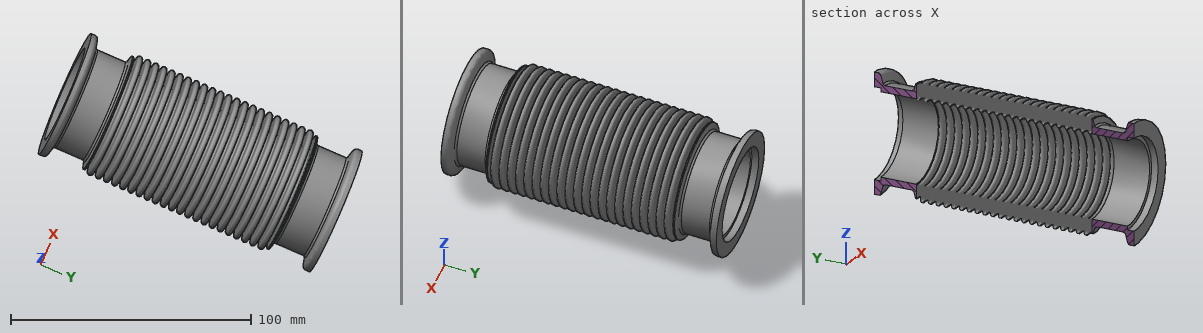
import cadquery as cq
import math

total_length = 123.1

convolution_count = 22
pitch = 3.7
wall = 0.31
gap = 1.5
crest_radius = 27.1
bellows_bore_radius = 18.7
end_plate_radius = 25.7

outside_root_bend = gap / 2
inside_root_bend = outside_root_bend + wall
crest_bend_center = crest_radius - (pitch - gap) / 2
root_bend_center = bellows_bore_radius + inside_root_bend
last_root_y = convolution_count * pitch / 2

tube_radius = 22.3
tube_bore_radius = 19.1
flange_diameter = 55.0
flange_rim_height = 3.0
recess_radius = 20.8
recess_depth = 3.1
lip_rim_height = 0.5
rim_fillet = 1.5
neck_fillet = 1.0
cone_angle = 15

flange_radius = flange_diameter / 2
lip_radius = end_plate_radius
cone_slope = math.tan(math.radians(cone_angle))
fitting_outer_y = total_length / 2
fitting_inner_y = last_root_y + inside_root_bend

selection_margin = 0.1


def revolve_about_y(profile):
    """Close a profile drawn as (radius, y) and turn it a full circle about the Y axis."""
    return profile.close().revolve(360, (0, 0, 0), (0, 1, 0))


def make_cylinder(radius, start_y, end_y):
    """Cylinder along the Y axis; the XZ plane faces -Y, so the length is extruded backward."""
    return cq.Workplane("XZ", origin=(0, start_y, 0)).circle(radius).extrude(start_y - end_y)


def ring_at(radius, y):
    """Selector for the circular edge of this radius at position y along the axis."""
    reach = radius + selection_margin
    low_corner = (-reach, y - selection_margin, -reach)
    high_corner = (reach, y + selection_margin, reach)
    return cq.selectors.BoxSelector(low_corner, high_corner, boundingbox=True)


def add_bellows_face(profile, root_bend, direction):
    """Extend the profile along one face of the wall; direction is +1 toward +Y and -1 toward -Y."""
    crest_bend = pitch / 2 - root_bend
    crest_tip = crest_bend_center + crest_bend
    root_bottom = root_bend_center - root_bend
    root_step = direction * root_bend
    crest_step = direction * crest_bend

    for index in range(convolution_count + 1):
        root_y = direction * (index * pitch - last_root_y)
        profile = profile.lineTo(root_bend_center, root_y - root_step)
        profile = profile.threePointArc((root_bottom, root_y), (root_bend_center, root_y + root_step))
        if index < convolution_count:
            crest_y = root_y + direction * pitch / 2
            profile = profile.lineTo(crest_bend_center, crest_y - crest_step)
            profile = profile.threePointArc((crest_tip, crest_y), (crest_bend_center, crest_y + crest_step))
    return profile.lineTo(end_plate_radius, direction * last_root_y + root_step)


def make_bellows():
    """Corrugated thin-walled tube that ends in a flat ring plate on each side."""
    profile = cq.Workplane("XY").moveTo(end_plate_radius, -last_root_y - outside_root_bend)
    profile = add_bellows_face(profile, outside_root_bend, 1)
    profile = profile.lineTo(end_plate_radius, last_root_y + inside_root_bend)
    profile = add_bellows_face(profile, inside_root_bend, -1)
    return revolve_about_y(profile)


def make_fitting():
    """End fitting on the +Y side: turned outside, then the bore and the centering recess."""
    flange_rim_y = fitting_outer_y - flange_rim_height
    flange_cone_end = flange_rim_y - (flange_radius - tube_radius) * cone_slope
    lip_rim_y = fitting_inner_y + lip_rim_height
    lip_cone_end = lip_rim_y + (lip_radius - tube_radius) * cone_slope
    profile = cq.Workplane("XY").polyline([
        (0, fitting_outer_y),
        (flange_radius, fitting_outer_y),
        (flange_radius, flange_rim_y),
        (tube_radius, flange_cone_end),
        (tube_radius, lip_cone_end),
        (lip_radius, lip_rim_y),
        (lip_radius, fitting_inner_y),
        (0, fitting_inner_y),
    ])
    fitting = revolve_about_y(profile)
    fitting = fitting.edges(ring_at(tube_radius, flange_cone_end)).fillet(neck_fillet)
    fitting = fitting.edges(ring_at(tube_radius, lip_cone_end)).fillet(neck_fillet)
    fitting = fitting.edges(ring_at(flange_radius, flange_rim_y)).fillet(rim_fillet)

    bore = make_cylinder(tube_bore_radius, fitting_inner_y, fitting_outer_y)
    recess = make_cylinder(recess_radius, fitting_outer_y - recess_depth, fitting_outer_y)
    return fitting.cut(bore).cut(recess)


bellows = make_bellows()

fittings = []
for side in (1, -1):
    fitting = make_fitting()
    if side < 0:
        fitting = fitting.mirror("XZ")
    fittings.append(fitting.val())

result = cq.Compound.makeCompound([bellows.val(), *fittings])